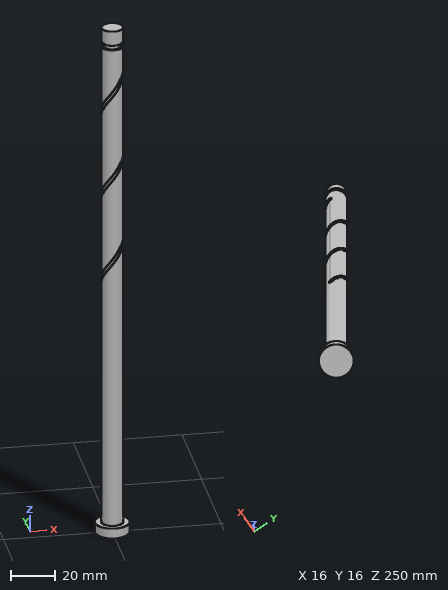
import cadquery as cq

total_length = 250.0
shaft_radius = 5.0
head_radius = 8.0
head_height = 5.0

tip_length = 7.0
groove_width = 2.2
groove_floor_radius = 4.0

spiral_pitch = 41.5
spiral_turns = 3
spiral_groove_radius = 0.8
spiral_front_height = 219.8
spiral_top = spiral_front_height + spiral_pitch / 4
spiral_height = spiral_turns * spiral_pitch
spiral_bottom = spiral_top - spiral_height


def make_pin():
    """Revolve the headed shaft together with its retaining groove."""
    shoulder = total_length - tip_length
    groove_bottom = shoulder - groove_width
    return (
        cq.Workplane("XZ")
        .lineTo(head_radius, 0)
        .lineTo(head_radius, head_height)
        .lineTo(shaft_radius, head_height)
        .lineTo(shaft_radius, groove_bottom)
        .lineTo(groove_floor_radius, groove_bottom)
        .lineTo(groove_floor_radius, shoulder)
        .lineTo(shaft_radius, shoulder)
        .lineTo(shaft_radius, total_length)
        .lineTo(0, total_length)
        .close()
        .revolve(360, (0, 0), (0, 1))
    )


def make_spiral_cutter():
    """Sweep a round section, square to the path, along a helix on the shaft surface."""
    helix = cq.Wire.makeHelix(spiral_pitch, spiral_height, shaft_radius)
    path = cq.Workplane(helix)
    section_plane = cq.Plane(
        origin=helix.positionAt(0), xDir=(1, 0, 0), normal=helix.tangentAt(0)
    )
    cutter = (
        cq.Workplane(section_plane)
        .circle(spiral_groove_radius)
        .sweep(path, isFrenet=True)
    )
    return cutter.translate((0, 0, spiral_bottom))


result = make_pin().cut(make_spiral_cutter())